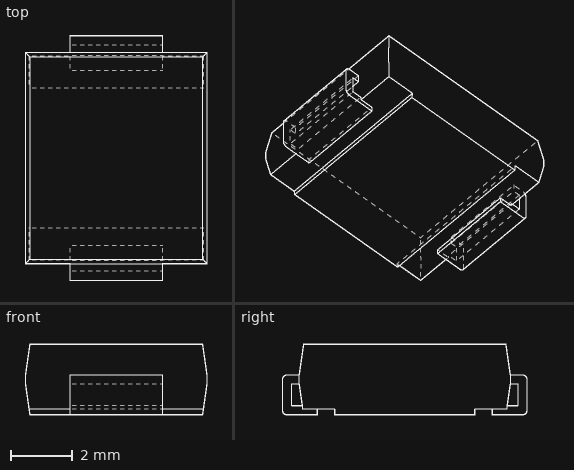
import cadquery as cq

body_x = 5.9
body_y = 6.86
height = 2.3
seam_bottom = 1.0
seam_top = 1.3
body_bottom = 0.19
draft_inset = 0.14

pad_y = 4.55

lead_span = 7.95
lead_x = 3.005
lead_thickness = 0.3
lead_radius = 0.16
foot_length = 1.14


def tapered_block(z_seam, z_end):
    """Block with its full outline at z_seam, narrowing towards z_end."""
    return (
        cq.Workplane("XY", origin=(0, 0, z_seam))
        .rect(body_x, body_y)
        .workplane(offset=z_end - z_seam)
        .rect(body_x - 2 * draft_inset, body_y - 2 * draft_inset)
        .loft(ruled=True)
    )


def make_body():
    band = (
        cq.Workplane("XY", origin=(0, 0, seam_bottom))
        .rect(body_x, body_y)
        .extrude(seam_top - seam_bottom)
    )
    upper = tapered_block(seam_top, height)
    lower = tapered_block(seam_bottom, 0)
    return band.union(upper).union(lower)


def make_end_relief():
    """Cutter that raises the underside between the pad and the +Y end."""
    return (
        cq.Workplane("XY")
        .box(body_x, (body_y - pad_y) / 2, body_bottom, centered=(True, False, False))
        .translate((0, pad_y / 2, 0))
    )


def make_lead():
    """C-shaped lead on the -Y end: arm from the body, outer wall and foot."""
    outer_y = -lead_span / 2
    inner_y = outer_y + lead_thickness
    foot_y = outer_y + foot_length
    profile = [
        (foot_y, 0),
        (outer_y, 0),
        (outer_y, seam_top),
        (foot_y, seam_top),
        (foot_y, seam_top - lead_thickness),
        (inner_y, seam_top - lead_thickness),
        (inner_y, lead_thickness),
        (foot_y, lead_thickness),
    ]
    return (
        cq.Workplane("YZ")
        .polyline(profile)
        .close()
        .extrude(lead_x / 2, both=True)
        .faces("<Y")
        .edges("|X")
        .fillet(lead_radius)
    )


relief = make_end_relief()
lead = make_lead()
body = make_body().cut(relief).cut(relief.mirror("XZ"))
result = body.union(lead).union(lead.mirror("XZ"))